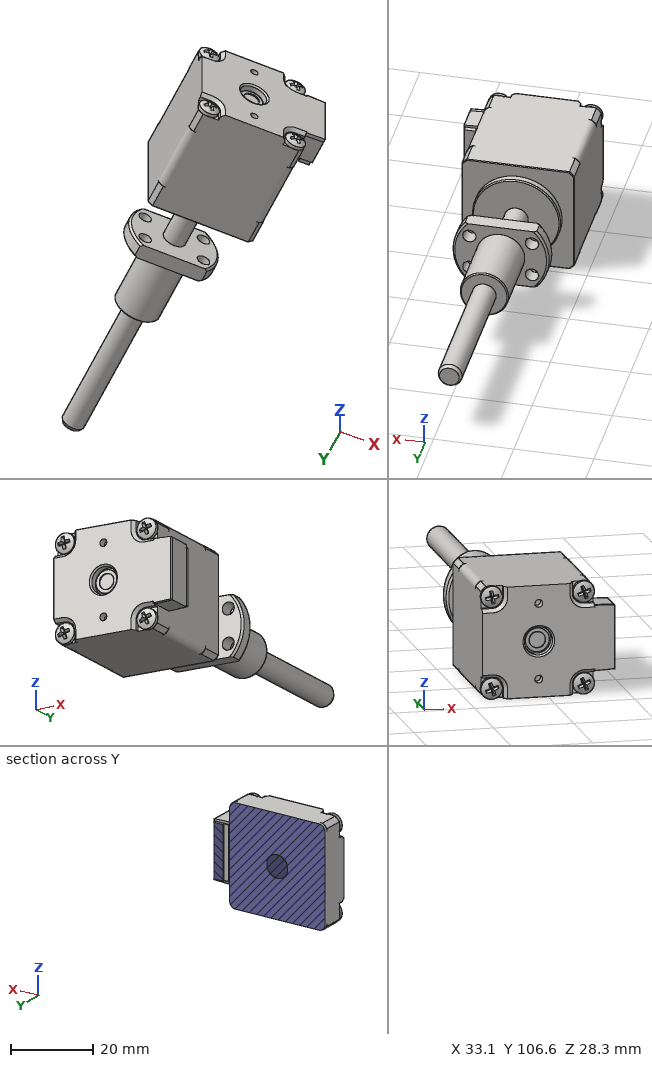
import cadquery as cq
import math

total_length = 106.6

motor_width = 28.0
rear_cover_length = 7.6
stator_length = 17.7
front_cover_length = 6.4
cover_corner_diameter = 38.0
stator_corner_diameter = 38.2
stator_corner_radius = 1.8
front_edge_chamfer = 0.2
pilot_diameter = 22.0
pilot_height = 1.9
pilot_chamfer = 0.3

journal_bore_diameter = 7.0
journal_recess = 1.5
bore_countersink = 0.4
small_hole_diameter = 1.9
small_hole_offset = 9.5
small_hole_depth = 2.1

screw_offset = 11.5
head_diameter = 5.3
head_height = 1.8
head_rim_height = 1.0
seat_depth = 2.0
seat_radius = 2.9
seat_chamfer_width = 0.9
seat_chamfer_depth = 1.0
cross_length = 3.5
cross_width = 1.0
cross_depth = 1.1
cross_wall_angle = 20
cross_angles = {(-1, 1): 10, (1, 1): 20, (-1, -1): 20, (1, -1): 25}

connector_end = 19.0
connector_root_height = 16.4
connector_end_height = 16.0
back_plate_thickness = 1.0
mouth_start = 15.9
mouth_end = 18.7
mouth_step_start = 14.6
mouth_step_length = 0.3
mouth_length = 1.3
mouth_height = 14.9

shaft_diameter = 6.0
tip_taper_length = 1.0
tip_taper_width = 0.5
journal_chamfer = 0.6
centre_recess_diameter = 4.0
centre_recess_depth = 0.3

flange_start = 46.7
flange_thickness = 3.9
flange_diameter = 24.0
flange_width = 16.0
sleeve_diameter = 12.0
sleeve_length = 18.0
flange_chamfer = 0.5
sleeve_chamfer = 0.3
flange_hole_diameter = 3.3
flange_hole_circle = 18.0
flange_hole_half_angle = 30

front_cover_start = rear_cover_length + stator_length
motor_front = front_cover_start + front_cover_length
side_face = motor_width / 2
corners = [(side_x, side_z) for side_x in (-1, 1) for side_z in (-1, 1)]


def section(y):
    """Workplane across the axis at height y; positive extrusion lengths run toward -Y."""
    return cq.Workplane("XZ", origin=(0, y, 0))


def disc(diameter, y, length):
    """Cylinder on the common axis from y to y + length."""
    return section(y).circle(diameter / 2).extrude(-length)


def square_block(y, length):
    return section(y).rect(motor_width, motor_width).extrude(-length)


def cover_block(y, length):
    """Square block whose corners are turned down to a circle."""
    return square_block(y, length).intersect(disc(cover_corner_diameter, y, length))


def stator_block():
    """Square block with rounded corners that are turned down a little."""
    block = square_block(rear_cover_length, stator_length).edges("|Y").fillet(stator_corner_radius)
    return block.intersect(disc(stator_corner_diameter, rear_cover_length, stator_length))


def seat_outline(side_x, side_z, radius):
    """Open corner pocket: a rounded square whose inner corner is centred on the screw."""
    size = 4 * radius
    centre = screw_offset - radius + size / 2
    outline = cq.Sketch().rect(size, size).vertices().fillet(radius)
    return outline.moved(cq.Location(cq.Vector(side_x * centre, side_z * centre, 0)))


def screw_seat(side_x, side_z):
    """Pocket for a screw head, with a sloping rim along the rear face."""
    pocket = section(0).placeSketch(seat_outline(side_x, side_z, seat_radius)).extrude(-seat_depth)
    rim_outline = seat_outline(side_x, side_z, seat_radius + seat_chamfer_width)
    rim_angle = math.degrees(math.atan2(seat_chamfer_width, seat_chamfer_depth))
    rim = section(0).placeSketch(rim_outline).extrude(-seat_chamfer_depth, taper=rim_angle)
    return pocket.union(rim)


def connector_block(y, length):
    """Block on the +X side that gets slightly lower toward its end."""
    outline = [
        (side_face, -connector_root_height / 2),
        (connector_end, -connector_end_height / 2),
        (connector_end, connector_end_height / 2),
        (side_face, connector_root_height / 2),
    ]
    return section(y).polyline(outline).close().extrude(-length)


def mouth_block(start, length):
    """Block standing on the +Y face of the connector."""
    width = mouth_end - start
    outline = section(rear_cover_length).center(start + width / 2, 0).rect(width, mouth_height)
    return outline.extrude(-length)


def make_rear_cover():
    """Cover with the screw seats, two small holes, the journal bore and the plate behind the connector."""
    cover = cover_block(0, rear_cover_length)
    for side_x, side_z in corners:
        cover = cover.cut(screw_seat(side_x, side_z))
    cover = cover.union(connector_block(0, back_plate_thickness))
    small_holes = section(0).pushPoints([(0, small_hole_offset), (0, -small_hole_offset)])
    cover = cover.cut(small_holes.circle(small_hole_diameter / 2).extrude(-small_hole_depth))
    countersink = section(0).circle(journal_bore_diameter / 2 + bore_countersink)
    countersink = countersink.extrude(-bore_countersink, taper=45)
    return cover.cut(disc(journal_bore_diameter, 0, rear_cover_length)).cut(countersink)


def make_front_cover():
    """Cover with a round pilot on its front face."""
    cover = cover_block(front_cover_start, front_cover_length).faces(">Y").chamfer(front_edge_chamfer)
    pilot = disc(pilot_diameter, motor_front, pilot_height).faces(">Y").chamfer(pilot_chamfer)
    return cover.union(pilot)


def make_motor():
    """One solid of three sections; the seams between the flush sections are kept as edges."""
    motor = make_rear_cover()
    for block in (stator_block(), make_front_cover()):
        motor = motor.union(block.cut(disc(shaft_diameter, 0, total_length)), clean=False)
    return motor


def make_connector():
    body = connector_block(back_plate_thickness, rear_cover_length - back_plate_thickness)
    step = mouth_block(mouth_step_start, mouth_step_length)
    return body.union(step).union(mouth_block(mouth_start, mouth_length))


def make_screw(side_x, side_z):
    """Domed head with a cross recess; it rests on the floor of its seat."""
    head_top = seat_depth - head_height
    dome_rise = head_height - head_rim_height
    dome_radius = ((head_diameter / 2) ** 2 + dome_rise**2) / (2 * dome_rise)
    dome = cq.Workplane("XY", origin=(0, head_top + dome_radius, 0)).sphere(dome_radius)
    head = disc(head_diameter, head_top, head_height).intersect(dome)
    cross_angle = cross_angles[side_x, side_z]
    for angle in (cross_angle, cross_angle + 90):
        slot = section(head_top).transformed(rotate=(0, 0, angle)).rect(cross_length, cross_width)
        head = head.cut(slot.extrude(-cross_depth, taper=cross_wall_angle))
    return head.translate((side_x * screw_offset, 0, side_z * screw_offset))


def make_lead_screw():
    """Shaft with a tapered tip at +Y and a thicker journal inside the rear cover."""
    shaft = disc(shaft_diameter, journal_recess, total_length - journal_recess)
    shaft = shaft.faces(">Y").chamfer(tip_taper_length, tip_taper_width)
    journal = disc(journal_bore_diameter, journal_recess, rear_cover_length - journal_recess)
    journal = journal.faces("<Y").chamfer(journal_chamfer)
    return shaft.union(journal).cut(disc(centre_recess_diameter, journal_recess, centre_recess_depth))


def make_nut():
    """Flanged nut: a round flange with two flats and four holes, and a sleeve toward +Y."""
    flange = disc(flange_diameter, flange_start, flange_thickness).faces("<Y or >Y").chamfer(flange_chamfer)
    flats = section(flange_start).rect(flange_diameter, flange_width).extrude(-flange_thickness)
    flange = flange.intersect(flats)
    hole_x = flange_hole_circle / 2 * math.cos(math.radians(flange_hole_half_angle))
    hole_z = flange_hole_circle / 2 * math.sin(math.radians(flange_hole_half_angle))
    holes = section(flange_start).rect(2 * hole_x, 2 * hole_z, forConstruction=True).vertices()
    flange = flange.cut(holes.circle(flange_hole_diameter / 2).extrude(-flange_thickness))
    sleeve = disc(sleeve_diameter, flange_start + flange_thickness, sleeve_length)
    sleeve = sleeve.faces(">Y").chamfer(sleeve_chamfer)
    return flange.union(sleeve).cut(disc(shaft_diameter, 0, total_length))


motor = make_motor()
connector = make_connector()
lead_screw = make_lead_screw()
nut = make_nut()
screws = [make_screw(side_x, side_z) for side_x, side_z in corners]

result = cq.Compound.makeCompound(
    [motor.val(), connector.val(), lead_screw.val(), nut.val(), *[screw.val() for screw in screws]]
)